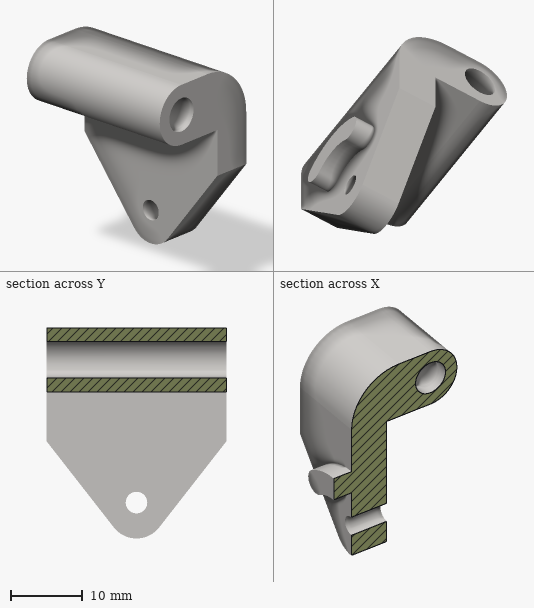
import cadquery as cq
import math

width = 25.0
height = 29.38
plate_thickness = 6.0
front_reach = 17.9

barrel_diameter = 9.0
barrel_hole_diameter = 5.0
bend_radius = 8.0

tip_radius = 4.0
pivot_z = 5.0
pivot_diameter = 3.0
shoulder_z = 13.51

key_height = 3.0
key_outer_radius = 9.3
key_width = 3.67
key_half_angle = 35.3

half_width = width / 2
barrel_radius = barrel_diameter / 2
barrel_y = barrel_radius - front_reach
barrel_z = height - barrel_radius


def polar(center_z, radius, angle):
    """Point around (0, center_z); the angle in degrees is measured from +Z toward +X."""
    turn = math.radians(angle)
    return (radius * math.sin(turn), center_z + radius * math.cos(turn))


def make_bracket():
    """L-shaped side profile in YZ, with its back face on Y = 0."""
    bend_mid = bend_radius * (1 - math.sqrt(0.5))
    return (
        cq.Workplane("YZ")
        .moveTo(0, 0)
        .lineTo(0, height - bend_radius)
        .threePointArc((-bend_mid, height - bend_mid), (-bend_radius, height))
        .lineTo(barrel_y, height)
        .threePointArc((-front_reach, barrel_z), (barrel_y, height - barrel_diameter))
        .lineTo(-plate_thickness, height - barrel_diameter)
        .lineTo(-plate_thickness, 0)
        .close()
        .extrude(half_width, both=True)
    )


def make_front_outline():
    """Front outline, with tapered sides tangent to the round tip."""
    shoulder_rise = shoulder_z - tip_radius
    shoulder_distance = math.hypot(half_width, shoulder_rise)
    shoulder_angle = math.degrees(math.atan2(half_width, shoulder_rise))
    tangent_angle = shoulder_angle + math.degrees(math.acos(tip_radius / shoulder_distance))
    return (
        cq.Workplane("XZ")
        .moveTo(-half_width, height)
        .lineTo(half_width, height)
        .lineTo(half_width, shoulder_z)
        .lineTo(*polar(tip_radius, tip_radius, tangent_angle))
        .threePointArc((0, 0), polar(tip_radius, tip_radius, -tangent_angle))
        .lineTo(-half_width, shoulder_z)
        .close()
        .extrude(front_reach)
    )


def make_key():
    """Curved key with rounded ends, standing on the back face."""
    middle_radius = key_outer_radius - key_width / 2
    inner_radius = key_outer_radius - key_width
    outer_left = polar(pivot_z, key_outer_radius, -key_half_angle)
    outer_right = polar(pivot_z, key_outer_radius, key_half_angle)
    inner_left = polar(pivot_z, inner_radius, -key_half_angle)
    inner_right = polar(pivot_z, inner_radius, key_half_angle)
    end_x, end_z = polar(pivot_z, middle_radius, key_half_angle)
    turn = math.radians(key_half_angle)
    cap_x = end_x + key_width / 2 * math.cos(turn)
    cap_z = end_z - key_width / 2 * math.sin(turn)
    return (
        cq.Workplane("XZ")
        .moveTo(*outer_left)
        .threePointArc((0, pivot_z + key_outer_radius), outer_right)
        .threePointArc((cap_x, cap_z), inner_right)
        .threePointArc((0, pivot_z + inner_radius), inner_left)
        .threePointArc((-cap_x, cap_z), outer_left)
        .close()
        .extrude(-key_height)
    )


barrel_hole = (
    cq.Workplane("YZ")
    .center(barrel_y, barrel_z)
    .circle(barrel_hole_diameter / 2)
    .extrude(half_width, both=True)
)
pivot_hole = (
    cq.Workplane("XZ")
    .center(0, pivot_z)
    .circle(pivot_diameter / 2)
    .extrude(plate_thickness)
)

bracket = make_bracket().intersect(make_front_outline())
result = bracket.cut(barrel_hole).cut(pivot_hole).union(make_key())